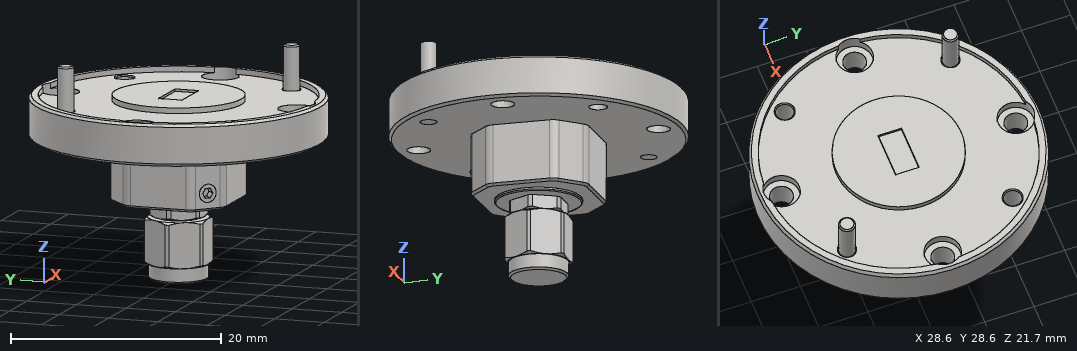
import cadquery as cq
import math


flange_radius = 14.28
flange_thickness = 4.09
flange_chamfer = 0.25
recess_radius = 13.37
recess_depth = 0.55
boss_radius = 6.35
waveguide_length = 4.77
waveguide_width = 2.37
waveguide_depth = 0.23

bolt_circle_radius = 11.9
screw_hole_diameter = 2.25
counterbore_diameter = 3.57
counterbore_depth = 1.4
screw_angles = [0, 90, 180, 270]
dowel_hole_diameter = 1.77
dowel_hole_angles = [45, 225]
pin_angles = [135, 315]
hole_chamfer = 0.1

pin_diameter = 1.6
pin_height = 3.85
pin_chamfer = 0.15

block_half_width = 5.83
block_corner_distance = 6.45
block_edge_radius = 1.2
block_bottom = -10.1
block_chamfer = 0.23
collar_radius = 4.2
collar_bottom = -10.4
collar_chamfer = 0.1

body_hex_flats = 5.1
body_hex_corners = 5.65
body_hex_bottom = -11.7
neck_radius = 2.15
nut_flats = 5.95
nut_corners = 6.65
nut_top = -11.85
nut_bottom = -16.35
hex_chamfer_angle = 30
sleeve_radius = 2.89
sleeve_bottom = -17.85
sleeve_chamfer = 0.2

set_screw_diameter = 1.77
set_screw_length = 2.0
set_screw_z = -8.4
socket_flats = 0.9
socket_depth = 0.85

recess_floor = -recess_depth
flange_bottom = -flange_thickness


def across_corners(flats):
    """Size of a sharp hexagon across its corners, from its size across flats."""
    return flats / math.cos(math.radians(30))


def cylinder(radius, top, bottom):
    """Round bar on the Z axis between two heights."""
    return cq.Workplane("XY").workplane(offset=bottom).circle(radius).extrude(top - bottom)


def on_bolt_circle(angles, height):
    """Workplane at a height, with one point on the bolt circle for each angle."""
    points = [
        (bolt_circle_radius * math.cos(math.radians(a)), bolt_circle_radius * math.sin(math.radians(a)))
        for a in angles
    ]
    return cq.Workplane("XY").workplane(offset=height).pushPoints(points)


def make_flange():
    """Chamfered disc with a shallow recess around a central boss and a waveguide opening."""
    disc = cylinder(flange_radius, 0, flange_bottom).edges().chamfer(flange_chamfer)
    recess = cylinder(recess_radius, 0, recess_floor).cut(cylinder(boss_radius, 0, recess_floor))
    opening = cq.Workplane("XY").rect(waveguide_length, waveguide_width).extrude(-waveguide_depth)
    return disc.cut(recess).cut(opening)


def chamfered_holes(angles, diameter):
    """Cutters for through holes with a chamfered mouth at the recess floor."""
    radius = diameter / 2
    bores = on_bolt_circle(angles, recess_floor).circle(radius).extrude(flange_bottom - recess_floor)
    mouths = (
        on_bolt_circle(angles, recess_floor)
        .circle(radius + hole_chamfer)
        .extrude(-hole_chamfer, taper=45)
    )
    return bores.union(mouths)


def counterbored_holes():
    """Cutters for the screw holes and their counterbores."""
    bores = on_bolt_circle(screw_angles, 0).circle(screw_hole_diameter / 2).extrude(flange_bottom)
    counterbores = (
        on_bolt_circle(screw_angles, 0).circle(counterbore_diameter / 2).extrude(-counterbore_depth)
    )
    return bores.union(counterbores)


def make_block():
    """Eight-sided block with rounded upright edges, ending in a round collar."""
    height = flange_bottom - block_bottom
    base = cq.Workplane("XY").workplane(offset=block_bottom)
    square = base.rect(2 * block_half_width, 2 * block_half_width).extrude(height)
    diamond = (
        base.transformed(rotate=(0, 0, 45))
        .rect(2 * block_corner_distance, 2 * block_corner_distance)
        .extrude(height)
    )
    block = square.intersect(diamond).edges("|Z").fillet(block_edge_radius)
    block = block.faces("<Z").edges().chamfer(block_chamfer)
    collar = cylinder(collar_radius, block_bottom, collar_bottom)
    collar = collar.faces("<Z").edges().chamfer(collar_chamfer)
    return block.union(collar)


def turned_hex(flats, corners, top, bottom, chamfer_top):
    """Hexagon with two corners on X, its corners turned round and its ends chamfered."""
    height = top - bottom
    hexagon = (
        cq.Workplane("XY")
        .workplane(offset=bottom)
        .polygon(6, across_corners(flats))
        .extrude(height)
    )
    end_radius = flats / 2
    chamfer_width = (corners - flats) / 2
    chamfer_height = chamfer_width * math.tan(math.radians(hex_chamfer_angle))
    profile = [(0, bottom), (end_radius, bottom), (corners / 2, bottom + chamfer_height)]
    if chamfer_top:
        profile += [(corners / 2, top - chamfer_height), (end_radius, top), (0, top)]
    else:
        profile += [(corners / 2, top), (0, top)]
    envelope = cq.Workplane("XZ").polyline(profile).close().revolve(360, (0, 0, 0), (0, 1, 0))
    return hexagon.intersect(envelope)


def make_connector():
    """Hexagonal connector body, neck, coupling nut and end sleeve."""
    body_hex = turned_hex(body_hex_flats, body_hex_corners, collar_bottom, body_hex_bottom, False)
    neck = cylinder(neck_radius, body_hex_bottom, nut_top)
    nut = turned_hex(nut_flats, nut_corners, nut_top, nut_bottom, True)
    sleeve = cylinder(sleeve_radius, nut_bottom, sleeve_bottom)
    sleeve = sleeve.faces("<Z").edges().chamfer(sleeve_chamfer)
    return body_hex.union(neck).union(nut).union(sleeve)


def set_screw_plane():
    """Workplane on the cut-off corner at -X -Y, facing outward, with its local X level."""
    reach = block_corner_distance / math.sqrt(2)
    return cq.Workplane(
        cq.Plane(origin=(-reach, -reach, set_screw_z), xDir=(1, -1, 0), normal=(-1, -1, 0))
    )


def set_screw_blank():
    """Plain round bar that fills the set screw's hole."""
    return set_screw_plane().circle(set_screw_diameter / 2).extrude(-set_screw_length)


def make_housing():
    """Flange, block and connector in one piece, with the holes for screws and pins."""
    flange = make_flange()
    flange = flange.cut(counterbored_holes())
    flange = flange.cut(chamfered_holes(dowel_hole_angles, dowel_hole_diameter))
    flange = flange.cut(chamfered_holes(pin_angles, pin_diameter))
    return flange.union(make_block()).union(make_connector()).cut(set_screw_blank())


def make_pin(angle):
    """Dowel pin reaching from the underside of the flange to above its rim."""
    pin_length = pin_height - flange_bottom
    pin = on_bolt_circle([angle], flange_bottom).circle(pin_diameter / 2).extrude(pin_length)
    return pin.faces(">Z").edges().chamfer(pin_chamfer)


def make_set_screw():
    """Headless screw with a hexagonal socket."""
    socket = set_screw_plane().polygon(6, across_corners(socket_flats)).extrude(-socket_depth)
    return set_screw_blank().cut(socket)


housing = make_housing().solids()
pins = [make_pin(angle).solids() for angle in pin_angles]
set_screw = make_set_screw().solids()

result = cq.Compound.makeCompound([housing.val(), *[pin.val() for pin in pins], set_screw.val()])